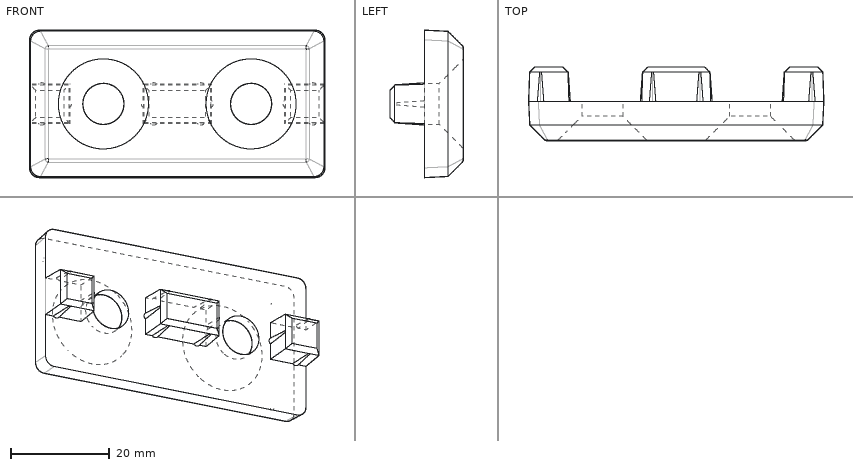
import cadquery as cq
import math

plate_length = 60.0
plate_height = 30.0
plate_thickness = 8.0
bevel_depth = 3.2
side_draft = 2.8
corner_radius = 2.0
bevel_tip_radius = 0.5
front_edge_radius = 1.0

hole_spacing = 30.0
hole_diameter = 8.3
countersink_diameter = 18.3
countersink_angle = 90.0

peg_height = 7.0
peg_width = 8.0
end_peg_length = 8.2
middle_peg_length = 14.0
peg_draft = 2.0
peg_chamfer = 1.0

rib_radius = 0.85
rib_projection = 0.3
rib_tip_scale = 0.3
end_rib_inset = 2.45
middle_rib_offset = 4.8

straight_depth = plate_thickness - bevel_depth
rib_height = peg_height - peg_chamfer
peg_narrowing = rib_height * math.tan(math.radians(peg_draft))
end_peg_center = (plate_length - end_peg_length) / 2


def rounded_outline(y, inset, radius):
    """Rounded rectangle wire, inset from the plate's back outline, at the given Y."""
    length = plate_length - 2 * inset
    height = plate_height - 2 * inset
    outline = cq.Workplane("XZ", origin=(0, y, 0)).rect(length, height).val()
    return outline.fillet2D(radius, outline.Vertices())


def make_plate():
    """Drafted plate whose bevel corners narrow toward the front."""
    side_inset = straight_depth * math.tan(math.radians(side_draft))
    bevel_inset = side_inset + bevel_depth
    back = rounded_outline(0, 0, corner_radius)
    bevel_start = rounded_outline(-straight_depth, side_inset, corner_radius)
    front = rounded_outline(-plate_thickness, bevel_inset, bevel_tip_radius)
    body = cq.Workplane(cq.Solid.makeLoft([back, bevel_start], True))
    bevel = cq.Workplane(cq.Solid.makeLoft([bevel_start, front], True))
    return body.union(bevel).faces("<Y").edges().fillet(front_edge_radius)


def make_rib(x, z, normal_x, normal_z):
    """Rib tapering along a drafted peg face, from (x, z) at the base of that face."""

    def circle(y, face_shift, scale):
        center_shift = face_shift + scale * (rib_projection - rib_radius)
        center = cq.Vector(x + normal_x * center_shift, y, z + normal_z * center_shift)
        return cq.Wire.makeCircle(scale * rib_radius, center, cq.Vector(0, 1, 0))

    base = circle(0, 0, 1)
    tip = circle(rib_height, -peg_narrowing, rib_tip_scale)
    return cq.Workplane(cq.Solid.makeLoft([base, tip], True))


def make_peg(x_center, length, rib_positions, ribbed_ends):
    """Drafted, chamfered peg with ribs on both long sides and on the listed ends."""
    peg = (
        cq.Workplane("XZ", origin=(x_center, 0, 0))
        .rect(length, peg_width)
        .extrude(-peg_height, taper=peg_draft)
        .faces(">Y")
        .chamfer(peg_chamfer)
    )
    for side in (-1, 1):
        for x in rib_positions:
            peg = peg.union(make_rib(x, side * peg_width / 2, 0, side))
    for end in ribbed_ends:
        peg = peg.union(make_rib(x_center + end * length / 2, 0, end, 0))
    return peg


def drill_screw_holes(body):
    """Two through holes countersunk from the front face."""
    return (
        body.faces("<Y")
        .workplane(origin=(0, -plate_thickness, 0))
        .pushPoints([(-hole_spacing / 2, 0), (hole_spacing / 2, 0)])
        .cskHole(hole_diameter, countersink_diameter, countersink_angle)
    )


result = drill_screw_holes(make_plate())
result = result.union(make_peg(0, middle_peg_length, (-middle_rib_offset, middle_rib_offset), (-1, 1)))
for side in (-1, 1):
    rib_x = side * (plate_length / 2 - end_rib_inset)
    result = result.union(make_peg(side * end_peg_center, end_peg_length, (rib_x,), (-side,)))